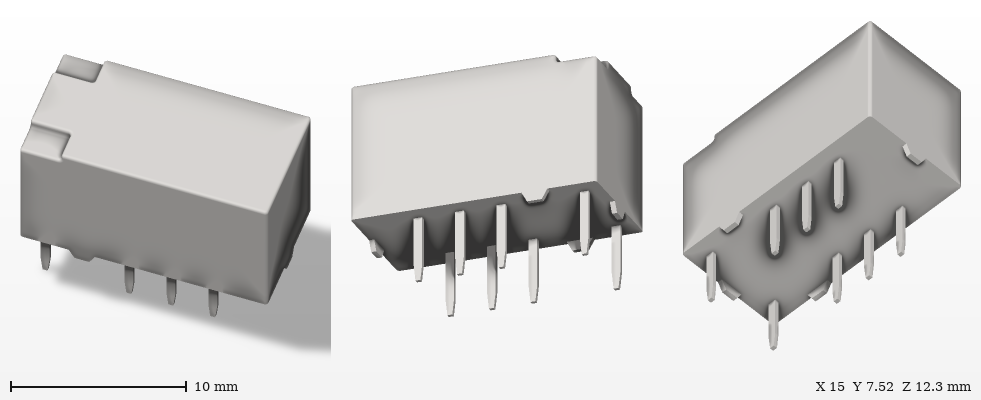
import cadquery as cq

case_length = 15
case_width = 7.52
case_height = 8.38
edge_radius = 0.2

recess_length = 2.5
recess_width = 1.82
recess_depth = 0.5

standoff_height = 0.6
standoff_top_width = 1.59
standoff_tip_width = 0.9
standoff_thickness = 0.32
side_standoff_x = -3.72

pin_pitch = 2.54
pin_columns = (-2.5, -0.5, 0.5, 1.5)
pin_rows = (-1, 1)
pin_length = 3.92
pin_taper_length = 0.99
pin_width = 0.52
pin_tip_width = 0.3
pin_thickness = 0.25


def make_case():
    """Box with two stepped-down top corners and every edge rounded except around the underside."""
    case = cq.Workplane("XY").box(case_length, case_width, case_height, centered=(True, True, False))
    for side in (-1, 1):
        recess = (
            cq.Workplane("XY", origin=(-case_length / 2, side * case_width / 2, case_height))
            .rect(2 * recess_length, 2 * recess_width)
            .extrude(-recess_depth)
        )
        case = case.cut(recess)
    return case.edges("not(<Z)").fillet(edge_radius)


def make_standoff():
    """Standoff with its outer face on the XZ plane and its thickness toward +Y."""
    return (
        cq.Workplane("XZ")
        .moveTo(-standoff_top_width / 2, 0)
        .lineTo(-standoff_tip_width / 2, -standoff_height)
        .lineTo(standoff_tip_width / 2, -standoff_height)
        .lineTo(standoff_top_width / 2, 0)
        .close()
        .extrude(-standoff_thickness)
    )


def make_pin():
    """Flat pin centred on the Z axis, tapering in width toward its tip."""
    taper_start = pin_taper_length - pin_length
    return (
        cq.Workplane("XZ")
        .moveTo(-pin_width / 2, 0)
        .lineTo(-pin_width / 2, taper_start)
        .lineTo(-pin_tip_width / 2, -pin_length)
        .lineTo(pin_tip_width / 2, -pin_length)
        .lineTo(pin_width / 2, taper_start)
        .lineTo(pin_width / 2, 0)
        .close()
        .extrude(pin_thickness / 2, both=True)
    )


result = make_case()

standoff = make_standoff()
z_axis = ((0, 0, 0), (0, 0, 1))
long_side_standoff = standoff.translate((side_standoff_x, -case_width / 2, 0))
end_standoff = standoff.rotate(*z_axis, -90).translate((-case_length / 2, 0, 0))
for placed_standoff, mirror_plane in ((long_side_standoff, "XZ"), (end_standoff, "YZ")):
    result = result.union(placed_standoff).union(placed_standoff.mirror(mirror_plane))

pin = make_pin()
for column in pin_columns:
    for row in pin_rows:
        result = result.union(pin.translate((column * pin_pitch, row * pin_pitch, 0)))